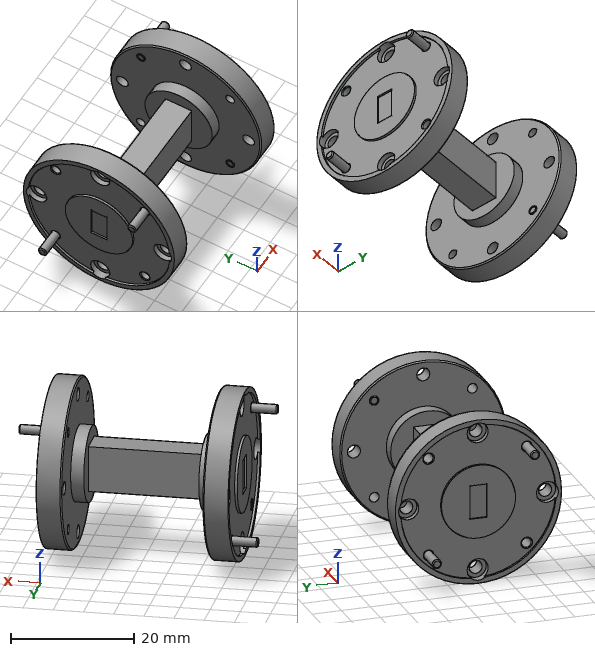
import cadquery as cq
import math

overall_length = 39.5
face_span = 31.75

flange_diameter = 28.55
flange_thickness = 4.2
flange_edge_chamfer = 0.25
collar_diameter = 12.7
collar_length = 2.17

relief_outer_diameter = 26.75
relief_depth = 0.45
boss_diameter = collar_diameter

tube_width = 4.95
tube_height = 7.8
aperture_width = 3.0
aperture_height = 5.8
aperture_depth = 0.3

pitch_radius = 11.93
screw_hole_diameter = 2.2
counterbore_diameter = 3.6
counterbore_depth = 1.4
socket_diameter = 1.65
socket_chamfer = 0.15
pin_hole_chamfer = 0.1

pin_diameter = 1.58
pin_chamfer = 0.2

face_x = face_span / 2
pin_length = (overall_length - face_span) / 2 + flange_thickness
sides = (-1, 1)
screw_angles = [0, 90, 180, 270]
pin_angles = [135, 315]
socket_angles = [45, 225]


def face_plane(side):
    """Plane on a mating face, origin on the axis, normal pointing into the part."""
    return cq.Plane(origin=(side * face_x, 0, 0), xDir=(0, side, 0), normal=(-side, 0, 0))


def pitch_points(angles):
    """Points on the pitch circle at the given angles in degrees."""
    return [
        (pitch_radius * math.cos(math.radians(angle)), pitch_radius * math.sin(math.radians(angle)))
        for angle in angles
    ]


def make_flange_blank(side):
    """Flange disc with a chamfered back edge and a collar behind it."""
    back_face = "<X" if side > 0 else ">X"
    disc = (
        cq.Workplane(face_plane(side))
        .circle(flange_diameter / 2)
        .extrude(flange_thickness)
        .faces(back_face)
        .chamfer(flange_edge_chamfer)
    )
    collar = (
        cq.Workplane(face_plane(side))
        .circle(collar_diameter / 2)
        .extrude(flange_thickness + collar_length)
    )
    return disc.union(collar)


def cut_mating_face(body, side):
    """Cut the annular relief and the rectangular aperture recess."""
    face = cq.Workplane(face_plane(side))
    relief = face.circle(relief_outer_diameter / 2).circle(boss_diameter / 2).extrude(relief_depth)
    aperture = face.rect(aperture_width, aperture_height).extrude(aperture_depth)
    return body.cut(relief).cut(aperture)


def drill(body, side, angles, diameter, depth):
    """Cut round holes on the pitch circle, starting at the mating face."""
    holes = (
        cq.Workplane(face_plane(side))
        .pushPoints(pitch_points(angles))
        .circle(diameter / 2)
        .extrude(depth)
    )
    return body.cut(holes)


def countersink(body, side, angles, diameter, chamfer):
    """Chamfer the mouths of round holes, on the floor of the relief."""
    cones = (
        cq.Workplane(face_plane(side))
        .workplane(offset=relief_depth)
        .pushPoints(pitch_points(angles))
        .circle(diameter / 2 + chamfer)
        .extrude(chamfer, taper=45)
    )
    return body.cut(cones)


def make_waveguide():
    """Tube with a complete flange at each end, as one solid."""
    body = cq.Workplane("XY").box(face_span - 2 * flange_thickness, tube_width, tube_height)
    for side in sides:
        body = body.union(make_flange_blank(side))
    for side in sides:
        body = cut_mating_face(body, side)
        body = drill(body, side, screw_angles, screw_hole_diameter, flange_thickness)
        body = drill(body, side, screw_angles, counterbore_diameter, counterbore_depth)
        body = drill(body, side, socket_angles, socket_diameter, flange_thickness)
        body = countersink(body, side, socket_angles, socket_diameter, socket_chamfer)
        body = countersink(body, side, pin_angles, pin_diameter, pin_hole_chamfer)
        body = drill(body, side, pin_angles, pin_diameter, flange_thickness)
    return body


def make_pin(side, center):
    """Dowel pin, flush with the back of its flange and chamfered at both ends."""
    return (
        cq.Workplane(face_plane(side))
        .workplane(offset=flange_thickness)
        .center(*center)
        .circle(pin_diameter / 2)
        .extrude(-pin_length)
        .faces("<X or >X")
        .chamfer(pin_chamfer)
    )


waveguide = make_waveguide()

pins = []
for side in sides:
    for center in pitch_points(pin_angles):
        pins.append(make_pin(side, center).val())

result = cq.Compound.makeCompound([waveguide.val(), *pins])